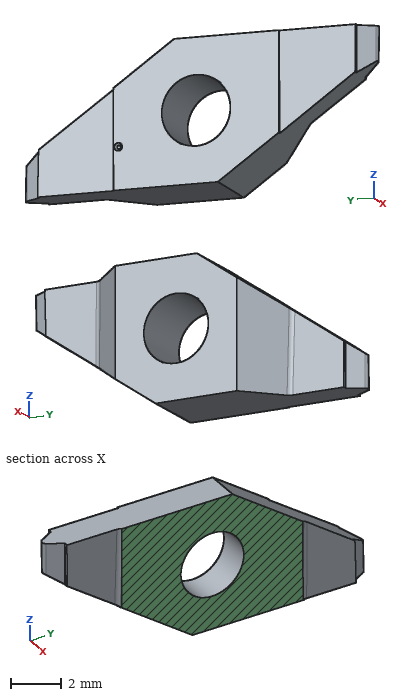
import cadquery as cq
import math

length = 15.0
width = 3.0
height = 6.0
ramp_angle = 35.0
ramp_start = 0.93
hole_diameter = 2.91

shank_center = -0.75
shank_half_width = 0.69
shank_step = 3.51
flank_outer = 2.75
shoulder = 6.75
tip_half_angle = 30.0
nose_radius = 0.18
flank_fillet = 0.3
clearance_angle = 1.0

dimple_y = 3.3
dimple_z = -1.23
dimple_diameter = 0.33
dimple_floor_diameter = 0.15
dimple_depth = 0.08

half_length = length / 2
half_width = width / 2
half_height = height / 2
shank_left = shank_center - shank_half_width
shank_right = shank_center + shank_half_width
flank_inner = flank_outer + half_width - shank_right


def side_prism():
    """Body seen along X: a parallelogram with blunt ends."""
    end_z = half_height - (half_length - ramp_start) * math.tan(math.radians(ramp_angle))
    outline = [
        (-half_length, half_height),
        (ramp_start, half_height),
        (half_length, end_z),
        (half_length, -half_height),
        (-ramp_start, -half_height),
        (-half_length, -end_z),
    ]
    return cq.Workplane("YZ").polyline(outline).close().extrude(half_width, both=True)


def center_block():
    """Thick middle with 45 degree flanks running down to the shanks."""
    flank_end = flank_outer + half_width - shank_center
    outline = [
        (-half_width, -shank_step),
        (shank_center, -shank_step),
        (shank_center, -flank_end),
        (half_width, -flank_outer),
        (half_width, flank_outer),
        (shank_center, flank_end),
        (shank_center, shank_step),
        (-half_width, shank_step),
    ]
    return cq.Workplane("XY").polyline(outline).close().extrude(half_height, both=True)


def front_cutter():
    """Shank and tip of the -Y end, narrowing downward from the top face."""
    lean = math.radians(tip_half_angle)
    nose_center_y = -half_length + nose_radius
    nose_half_width = nose_radius * math.cos(lean)
    nose_edge_y = nose_center_y - nose_radius * math.sin(lean)
    tip_base_half_width = nose_half_width + (-nose_edge_y - shoulder) * math.tan(lean)
    return (
        cq.Workplane("XY", origin=(0, 0, half_height))
        .moveTo(shank_left, 0)
        .lineTo(shank_left, -shoulder)
        .lineTo(shank_center - tip_base_half_width, -shoulder)
        .lineTo(shank_center - nose_half_width, nose_edge_y)
        .threePointArc((shank_center, -half_length), (shank_center + nose_half_width, nose_edge_y))
        .lineTo(shank_center + tip_base_half_width, -shoulder)
        .lineTo(shank_right, -shoulder)
        .lineTo(shank_right, 0)
        .close()
        .extrude(-height, taper=clearance_angle)
    )


front = front_cutter()
back = front.rotate((0, 0, 0), (1, 0, 0), 180)
plan = center_block().union(front).union(back)
for side in (-1, 1):
    corner = cq.selectors.NearestToPointSelector((shank_right, side * flank_inner, 0))
    plan = plan.edges(corner).fillet(flank_fillet)
result = side_prism().intersect(plan)

hole = cq.Workplane("YZ").circle(hole_diameter / 2).extrude(half_width, both=True)
result = result.cut(hole)

dimple = (
    cq.Workplane("YZ", origin=(-half_width, dimple_y, dimple_z))
    .circle(dimple_diameter / 2)
    .workplane(offset=dimple_depth)
    .circle(dimple_floor_diameter / 2)
    .loft()
)
result = result.cut(dimple)